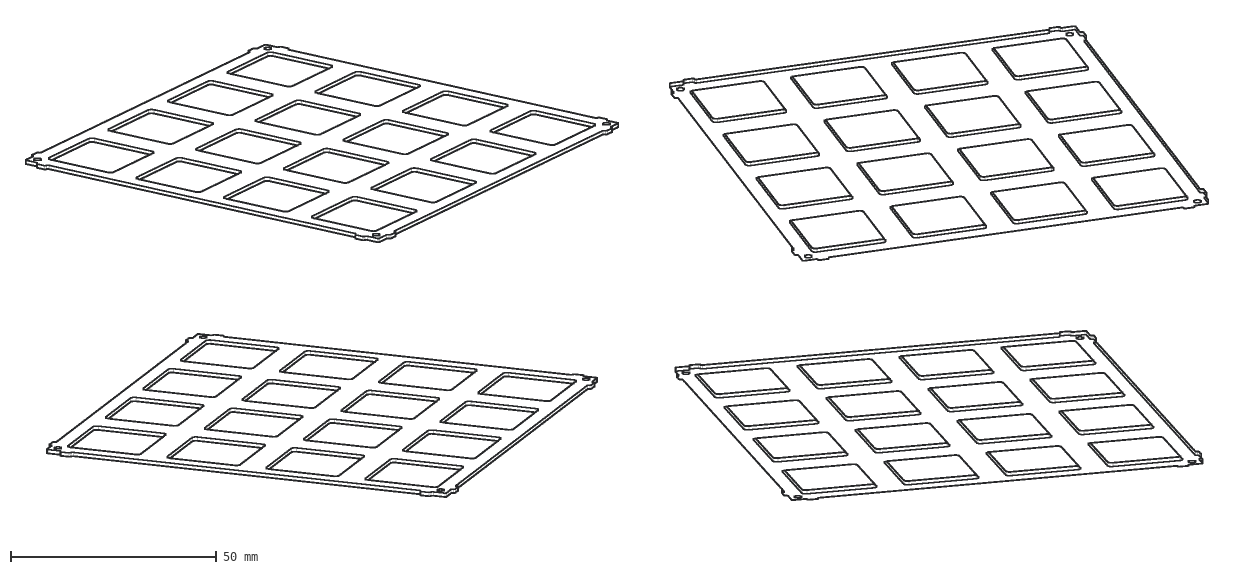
import cadquery as cq
import math

plate_side = 104.0
plate_corner_radius = 0.3
thickness = 1.0

windows_per_side = 4
window_side = 18.95
window_pitch = 25.8
window_corner_radius = 1.0

hole_diameter = 1.75
hole_offset = 49.85

overall_side = 105.6
tab_offset = 46.85
tab_tip_width = 2.75
tab_flank_radius = 0.4
tab_tip_radius = 0.38
tab_height = (overall_side - plate_side) / 2


def make_plate():
    plate = cq.Workplane("XY").rect(plate_side, plate_side).extrude(thickness)
    return plate.edges("|Z").fillet(plate_corner_radius)


def make_tab(center_x):
    """Tab on the +Y edge, rooted inside the plate, with concave flanks and a rounded tip."""
    edge_y = plate_side / 2
    tip_y = edge_y + tab_height
    root_y = edge_y - tab_height
    tip_half = tab_tip_width / 2
    foot_half = tip_half + tab_flank_radius
    flank_start_y = edge_y + tab_flank_radius
    diagonal_inset = tab_flank_radius * math.sqrt(0.5)
    flank_mid_half = foot_half - diagonal_inset
    flank_mid_y = flank_start_y - diagonal_inset
    outline = (
        cq.Workplane("XY")
        .moveTo(center_x - foot_half, root_y)
        .lineTo(center_x - foot_half, edge_y)
        .threePointArc((center_x - flank_mid_half, flank_mid_y), (center_x - tip_half, flank_start_y))
        .lineTo(center_x - tip_half, tip_y)
        .lineTo(center_x + tip_half, tip_y)
        .lineTo(center_x + tip_half, flank_start_y)
        .threePointArc((center_x + flank_mid_half, flank_mid_y), (center_x + foot_half, edge_y))
        .lineTo(center_x + foot_half, root_y)
        .close()
    )
    return outline.extrude(thickness).faces(">Y").edges("|Z").fillet(tab_tip_radius)


def add_tabs(body):
    for quarter_turn in range(4):
        for center_x in (-tab_offset, tab_offset):
            tab = make_tab(center_x).rotate((0, 0, 0), (0, 0, 1), 90 * quarter_turn)
            body = body.union(tab)
    return body


def cut_windows(body):
    windows = (
        cq.Workplane("XY")
        .rarray(window_pitch, window_pitch, windows_per_side, windows_per_side)
        .rect(window_side, window_side)
        .extrude(thickness)
        .edges("|Z")
        .fillet(window_corner_radius)
    )
    return body.cut(windows)


def cut_corner_holes(body):
    holes = (
        cq.Workplane("XY")
        .rect(2 * hole_offset, 2 * hole_offset, forConstruction=True)
        .vertices()
        .circle(hole_diameter / 2)
        .extrude(thickness)
    )
    return body.cut(holes)


result = cut_corner_holes(cut_windows(add_tabs(make_plate())))